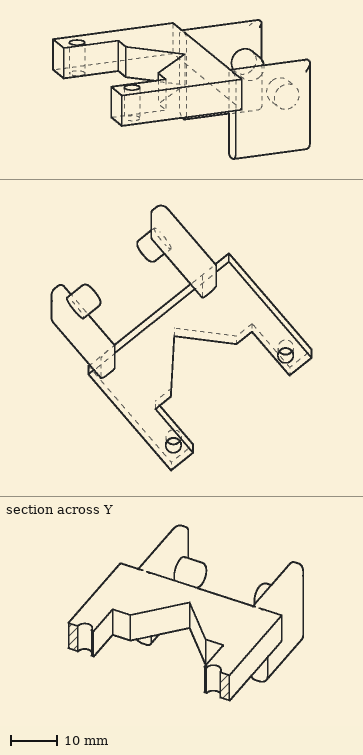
import cadquery as cq

width = 39.5
length = 46.0
height = 20.0

arm_length = 18.0
plate_length = length - arm_length
plate_thickness = 7.0
leg_width = 6.2
leg_length = 12.75
vee_half_width = 9.2
vee_depth = 9.95

hole_diameter = 3.3
hole_inset = 4.0

arm_inset = 3.5
arm_thickness = 4.0
outer_edge_radius = 2.0
inner_edge_radius = 1.0
lower_corner_radius = 1.0
arm_outer_x = width / 2 - arm_inset
arm_inner_x = arm_outer_x - arm_thickness

pin_diameter = 5.75
pin_length = 5.3
pin_end_radius = 1.0
pin_back_inset = 4.5
pin_depth = 8.2


def make_plate():
    """Plate with two front legs, a V notch between them and a hole in each leg."""
    leg_inner_x = width / 2 - leg_width
    plate = (
        cq.Workplane("XY")
        .moveTo(-width / 2, 0)
        .lineTo(-leg_inner_x, 0)
        .lineTo(-leg_inner_x, leg_length)
        .lineTo(-vee_half_width, leg_length)
        .lineTo(0, leg_length + vee_depth)
        .lineTo(vee_half_width, leg_length)
        .lineTo(leg_inner_x, leg_length)
        .lineTo(leg_inner_x, 0)
        .lineTo(width / 2, 0)
        .lineTo(width / 2, plate_length)
        .lineTo(-width / 2, plate_length)
        .close()
        .extrude(-plate_thickness)
    )
    hole_x = width / 2 - hole_inset
    holes = (
        cq.Workplane("XY")
        .pushPoints([(-hole_x, hole_inset), (hole_x, hole_inset)])
        .circle(hole_diameter / 2)
        .extrude(-plate_thickness)
    )
    return plate.cut(holes)


def make_arm():
    """Right arm: rounded lower back corner, and top, bottom and back edges rounded on both sides."""
    arm = cq.Workplane("XY").box(arm_thickness, arm_length, height, centered=False)
    arm = arm.translate((arm_inner_x, plate_length, -height))
    arm = arm.edges(">Y and <Z").fillet(lower_corner_radius)
    arm = arm.faces(">X").edges("not <Y").fillet(outer_edge_radius)
    return arm.faces("<X").edges("not <Y").fillet(inner_edge_radius)


def make_pin():
    """Right pin, pointing inward, with a rounded free end."""
    return (
        cq.Workplane("YZ", origin=(arm_inner_x, length - pin_back_inset, -pin_depth))
        .circle(pin_diameter / 2)
        .extrude(-pin_length)
        .faces("<X")
        .edges()
        .fillet(pin_end_radius)
    )


right_side = make_arm().union(make_pin())
result = make_plate().union(right_side).union(right_side.mirror("YZ"))